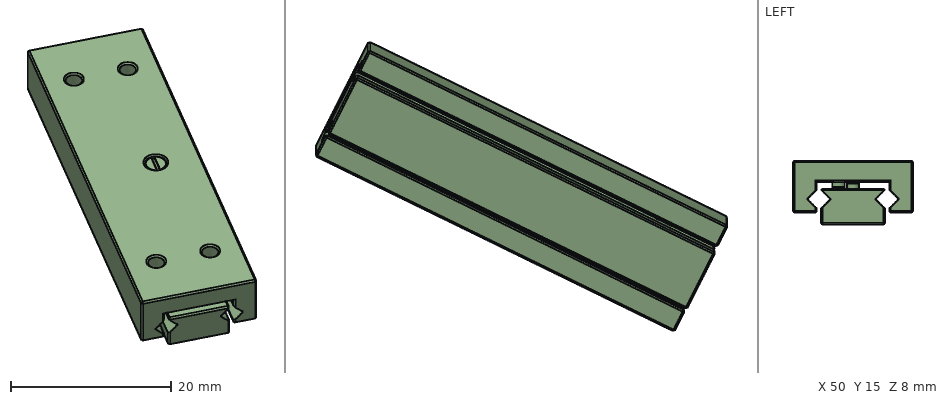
import cadquery as cq

LENGTH = 50.0
CENTER_X = LENGTH / 2
TOTAL_HEIGHT = 8.0
EDGE_CHAMFER = 0.225

CARRIAGE_WIDTH = 15.0
CARRIAGE_BOTTOM_Z = 1.5
CHANNEL_WIDTH = 9.0
CHANNEL_CEILING_Z = 5.3

RAIL_WIDTH = 8.0
RAIL_HEIGHT = 4.5

RACE_Z = 3.2
CARRIAGE_RACE_Y = 5.7
RAIL_RACE_Y = 2.8

MOUNT_SPACING_X = 36.0
MOUNT_SPACING_Y = 7.0
MOUNT_DIAMETER = 2.05
MOUNT_MOUTH_DIAMETER = 2.5

SCREW_Y = 1.8
SCREW_HEAD_DIAMETER = 2.5
SCREW_HEAD_HEIGHT = 1.5
SCREW_HEAD_SINK = 0.2
SCREW_HEAD_TOP_Z = TOTAL_HEIGHT - SCREW_HEAD_SINK
SCREW_HEAD_BOTTOM_Z = SCREW_HEAD_TOP_Z - SCREW_HEAD_HEIGHT
SCREW_BORE_DIAMETER = 2.7
SCREW_MOUTH_DIAMETER = 3.1
SCREW_TIP_DIAMETER = 1.6
SCREW_TIP_Z = 4.7
SLOT_WIDTH = 0.4
SLOT_DEPTH = 0.25

PIN_DIAMETER = 1.5
PIN_TOP_Z = 5.15
PIN_DEPTH = 1.5
PIN_BOTTOM_Z = RAIL_HEIGHT - PIN_DEPTH


def block(width, bottom_z, top_z):
    """Full-length bar, centred across Y."""
    return cq.Workplane("XY", origin=(CENTER_X, 0, bottom_z)).box(
        LENGTH, width, top_z - bottom_z, centered=(True, True, False)
    )


def cylinder(x, y, diameter, bottom_z, top_z):
    """Upright cylinder."""
    return cq.Workplane("XY", origin=(x, y, bottom_z)).circle(diameter / 2).extrude(top_z - bottom_z)


def chamfered_hole(x, y, diameter, mouth_diameter, bottom_z):
    """Cutter for a hole from the carriage top down to bottom_z, with a 45 degree mouth."""
    mouth_depth = (mouth_diameter - diameter) / 2
    shaft = cylinder(x, y, diameter, bottom_z, TOTAL_HEIGHT)
    mouth = (
        cq.Workplane("XY", origin=(x, y, TOTAL_HEIGHT))
        .circle(mouth_diameter / 2)
        .workplane(offset=-mouth_depth)
        .circle(diameter / 2)
        .loft(ruled=True)
    )
    return shaft.union(mouth)


def race_cutter(apex_y, open_y):
    """Triangular prism along X: a 90 degree V from its apex to the plane y = open_y."""
    half_opening = abs(open_y - apex_y)
    return (
        cq.Workplane("YZ", origin=(0, 0, RACE_Z))
        .polyline([(apex_y, 0), (open_y, half_opening), (open_y, -half_opening)])
        .close()
        .extrude(LENGTH)
    )


def ceiling_corners():
    """Selector for the two inside corners that run along the channel ceiling."""
    reach = CHANNEL_WIDTH / 2 + EDGE_CHAMFER
    return cq.selectors.BoxSelector(
        (CENTER_X - EDGE_CHAMFER, -reach, CHANNEL_CEILING_Z - EDGE_CHAMFER),
        (CENTER_X + EDGE_CHAMFER, reach, CHANNEL_CEILING_Z + EDGE_CHAMFER),
    )


def screw_seat():
    """Cutter for the head counterbore and the through hole for the tip."""
    bore = chamfered_hole(
        CENTER_X, SCREW_Y, SCREW_BORE_DIAMETER, SCREW_MOUTH_DIAMETER, SCREW_HEAD_BOTTOM_Z
    )
    tip_hole = cylinder(CENTER_X, SCREW_Y, SCREW_TIP_DIAMETER, CHANNEL_CEILING_Z, SCREW_HEAD_BOTTOM_Z)
    return bore.union(tip_hole)


def mounting_holes(body):
    """Cut the four mounting holes at the corners of a rectangle."""
    for side_x in (-1, 1):
        for side_y in (-1, 1):
            hole_x = CENTER_X + side_x * MOUNT_SPACING_X / 2
            hole_y = side_y * MOUNT_SPACING_Y / 2
            body = body.cut(
                chamfered_hole(hole_x, hole_y, MOUNT_DIAMETER, MOUNT_MOUTH_DIAMETER, CHANNEL_CEILING_Z)
            )
    return body


def make_carriage():
    outer = block(CARRIAGE_WIDTH, CARRIAGE_BOTTOM_Z, TOTAL_HEIGHT)
    channel = block(CHANNEL_WIDTH, CARRIAGE_BOTTOM_Z, CHANNEL_CEILING_Z)
    body = outer.cut(channel)
    outside_edges = cq.selectors.SubtractSelector(cq.Selector(), ceiling_corners())
    body = body.edges(outside_edges).chamfer(EDGE_CHAMFER)
    for side in (-1, 1):
        body = body.cut(race_cutter(side * CARRIAGE_RACE_Y, side * RAIL_WIDTH / 2))
    body = mounting_holes(body)
    return body.cut(screw_seat())


def make_rail():
    body = block(RAIL_WIDTH, 0, RAIL_HEIGHT).edges().chamfer(EDGE_CHAMFER)
    for side in (-1, 1):
        body = body.cut(race_cutter(side * RAIL_RACE_Y, side * CHANNEL_WIDTH / 2))
    return body.cut(cylinder(CENTER_X, 0, PIN_DIAMETER, PIN_BOTTOM_Z, RAIL_HEIGHT))


def make_screw():
    head = cylinder(CENTER_X, SCREW_Y, SCREW_HEAD_DIAMETER, SCREW_HEAD_BOTTOM_Z, SCREW_HEAD_TOP_Z)
    tip = cylinder(CENTER_X, SCREW_Y, SCREW_TIP_DIAMETER, SCREW_TIP_Z, SCREW_HEAD_BOTTOM_Z)
    slot = cq.Workplane("XY", origin=(CENTER_X, SCREW_Y, SCREW_HEAD_TOP_Z)).box(
        SCREW_HEAD_DIAMETER, SLOT_WIDTH, 2 * SLOT_DEPTH
    )
    return head.union(tip).cut(slot)


def make_stop_pin():
    return cylinder(CENTER_X, 0, PIN_DIAMETER, PIN_BOTTOM_Z, PIN_TOP_Z)


carriage = make_carriage()
rail = make_rail()
screw = make_screw()
stop_pin = make_stop_pin()

result = cq.Compound.makeCompound([carriage.val(), rail.val(), screw.val(), stop_pin.val()])